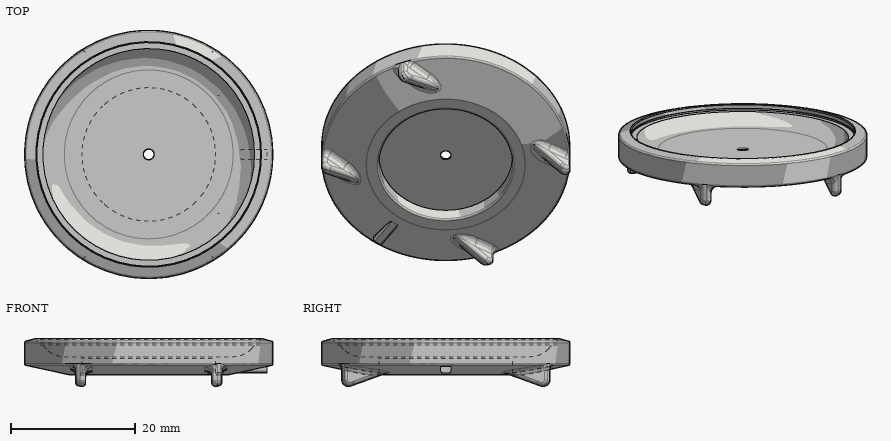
import cadquery as cq
import math

outer_radius = 20.0
crown_radius = 18.15
seat_radius = 18.0
bowl_radius = 17.05
floor_radius = 13.6
crown_slope = 15.0
rim_round = 0.3
mouth_chamfer = 0.15
rim_bottom = -4.3
ledge_z = -1.05
seat_groove_depth = 0.1
seat_groove_height = 0.3
floor_z = -2.95

base_z = -5.9
base_radius = 12.8
pocket_radius = 10.75
pocket_round = 0.3
membrane = 0.3
hole_diameter = 1.7
hole_round = 0.1

foot_x = 10.95
foot_width = 1.65
foot_tip_y = 9.1
foot_tip_z = -5.45
foot_root_z = -4.1
foot_slope = 20.0
foot_corner_round = 1.0
foot_edge_round = 0.6
foot_base_round = 1.0

bar_inner_x = 13.2
bar_outer_x = 19.1
bar_bottom = -5.55
bar_width = foot_width
bar_edge_round = 0.3


def bowl_arc_middle():
    """Middle of the bowl arc, which is tangent to the flat floor."""
    run = bowl_radius - floor_radius
    rise = ledge_z - floor_z
    radius = (run**2 + rise**2) / (2 * rise)
    half_angle = math.atan2(rise, run)
    return (
        floor_radius + radius * math.sin(half_angle),
        floor_z + radius * (1 - math.cos(half_angle)),
    )


def make_dish():
    rim_top = -(outer_radius - crown_radius) * math.tan(math.radians(crown_slope))
    pocket_roof = floor_z - membrane
    profile = (
        cq.Workplane("XZ")
        .moveTo(0, floor_z)
        .lineTo(floor_radius, floor_z)
        .threePointArc(bowl_arc_middle(), (bowl_radius, ledge_z))
        .lineTo(seat_radius + seat_groove_depth, ledge_z)
        .lineTo(seat_radius + seat_groove_depth, ledge_z + seat_groove_height)
        .lineTo(seat_radius, ledge_z + seat_groove_height)
        .lineTo(seat_radius, -mouth_chamfer)
        .lineTo(crown_radius, 0)
        .lineTo(outer_radius, rim_top)
        .lineTo(outer_radius, rim_bottom)
        .lineTo(base_radius, base_z)
        .lineTo(pocket_radius, base_z)
        .lineTo(pocket_radius, pocket_roof)
        .lineTo(0, pocket_roof)
        .close()
    )
    dish = profile.revolve(360, (0, 0, 0), (0, 1, 0))
    on_wall = cq.selectors.RadiusNthSelector(-1)
    dish = dish.edges(on_wall).fillet(rim_round)
    mouth = cq.selectors.BoxSelector((-12, -12, base_z - 0.05), (12, 12, base_z + 0.05))
    return dish.edges(mouth).fillet(pocket_round)


def make_foot(x_side, y_side):
    """Triangular foot along Y whose outer face lies flush with the rim wall."""
    slope = math.tan(math.radians(foot_slope))
    root_y = foot_tip_y - (foot_root_z - foot_tip_z) / slope
    outer_z = foot_tip_z - (outer_radius - foot_tip_y) * slope
    wedge = (
        cq.Workplane("YZ")
        .moveTo(root_y, foot_root_z)
        .lineTo(outer_radius, outer_z)
        .lineTo(outer_radius, foot_root_z)
        .close()
        .extrude(foot_x + 2 * foot_width)
    )
    envelope = cq.Workplane("XY").circle(outer_radius).extrude(-outer_radius)
    foot = wedge.intersect(envelope)
    foot = foot.edges("%ELLIPSE").fillet(foot_corner_round)
    slab = cq.Workplane("XY").box(foot_width, 2 * outer_radius, 2 * outer_radius)
    foot = foot.intersect(slab.translate((foot_x, 0, 0)))
    foot = foot.faces(">X or <X").edges("not >Z").fillet(foot_edge_round)
    if x_side < 0:
        foot = foot.mirror("YZ")
    if y_side < 0:
        foot = foot.mirror("XZ")
    return foot


def make_bar():
    """Flat-bottomed bar along X with rounded lower edges."""
    bar = (
        cq.Workplane("XY", origin=((bar_inner_x + bar_outer_x) / 2, 0, bar_bottom))
        .rect(bar_outer_x - bar_inner_x, bar_width)
        .extrude(foot_root_z - bar_bottom)
    )
    return bar.faces("<Z").edges("|X").fillet(bar_edge_round)


def make_hole():
    """Through-hole cutter that flares into a small round at the floor."""
    radius = hole_diameter / 2
    arc_offset = hole_round * (1 - math.sqrt(0.5))
    return (
        cq.Workplane("XZ")
        .moveTo(0, floor_z)
        .lineTo(radius + hole_round, floor_z)
        .threePointArc(
            (radius + arc_offset, floor_z - arc_offset),
            (radius, floor_z - hole_round),
        )
        .lineTo(radius, base_z)
        .lineTo(0, base_z)
        .close()
        .revolve(360, (0, 0, 0), (0, 1, 0))
    )


dish_with_feet = make_dish()
for x_side in (-1, 1):
    for y_side in (-1, 1):
        dish_with_feet = dish_with_feet.union(make_foot(x_side, y_side))

dish_with_feet = dish_with_feet.edges("%HYPERBOLA").fillet(foot_base_round)

result = dish_with_feet.union(make_bar()).cut(make_hole())